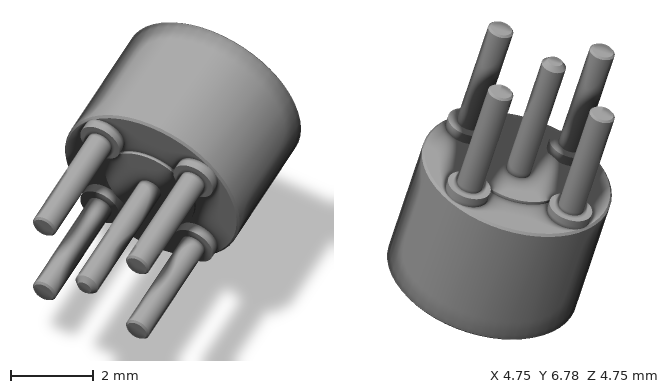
import cadquery as cq

total_length = 6.78
body_diameter = 4.75
body_length = 3.3
body_edge_chamfer = 0.055

insulator_diameter = 2.43
insulator_height = 0.08

center_pin_diameter = 0.61
center_pin_length = total_length - body_length
center_pin_chamfer = 0.12

leg_offset = 1.27
leg_diameter = 0.63
leg_length = 3.18
leg_chamfer = 0.05
collar_diameter = 1.07
collar_height = 0.25


def front_cylinder(diameter, length, x=0, z=0):
    """Cylinder standing on the body's front face (y = 0), reaching toward -Y."""
    return cq.Workplane("XZ").center(x, z).circle(diameter / 2).extrude(length)


def pin(diameter, length, tip_chamfer, x=0, z=0):
    """Round pin with a chamfered free end."""
    return front_cylinder(diameter, length, x, z).faces("<Y").chamfer(tip_chamfer)


body = front_cylinder(body_diameter, -body_length)
body = body.faces("<Y or >Y").edges().chamfer(body_edge_chamfer)

result = body.union(front_cylinder(insulator_diameter, insulator_height))
result = result.union(pin(center_pin_diameter, center_pin_length, center_pin_chamfer))

for x_side in (-1, 1):
    for z_side in (-1, 1):
        x = x_side * leg_offset
        z = z_side * leg_offset
        result = result.union(front_cylinder(collar_diameter, collar_height, x, z))
        result = result.union(pin(leg_diameter, leg_length, leg_chamfer, x, z))